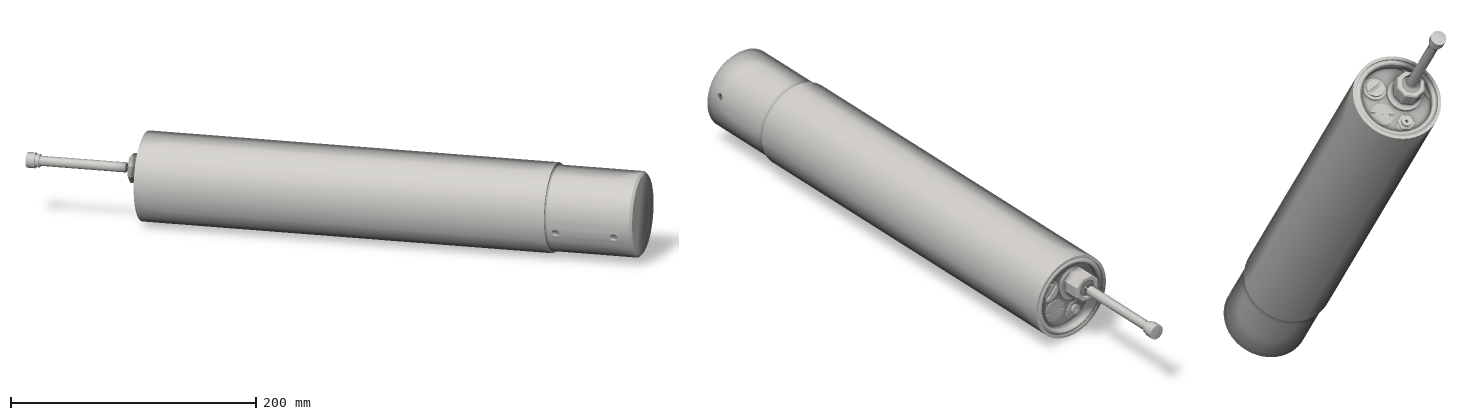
import cadquery as cq
import math

total_length = 518.0

housing_start = 97.5
housing_end = 444.5
housing_dia = 74.5
sleeve_dia = 71.0
sleeve_chamfer = 2.0
neck_dia = 70.0
neck_length = 1.5

groove_outer_dia = 69.5
groove_inner_dia = 65.5
groove_depth = 1.5
recess_dia = 60.5
recess_chamfer = 1.0
panel_x = 106.0

ledge_chord_distance = 25.0
ledge_angle = 135
ledge_height = 2.0

cable_y = -9.5
cable_z = 9.0
plug_dia = 13.0
plug_length = 7.0
collar_dia = 11.0
collar_end = 11.0
cable_dia = 8.5
cable_end = 84.0
core_dia = 1.0
gland_x = 87.5
gland_sides = 8
gland_across_flats = 23.0
gland_chamfer = 1.0
gland_bore_dia = 16.0
gland_bore_depth = 3.0
nut_y = -8.0
nut_z = 6.5
nut_dia = 28.5
nut_height = 3.0

fuse_y = 17.0
fuse_z = 9.0
fuse_flange_dia = 19.0
fuse_flange_height = 2.0
fuse_cap_dia = 14.5
fuse_cap_height = 4.0
fuse_slot_width = 3.0
fuse_slot_depth = 1.5
fuse_slot_angle = 45

cover_y = 10.5
cover_z = -13.0
cover_dia = 19.5
cover_height = 1.0
cover_hole_dia = 1.0
cover_notch_length = 4.0
cover_notch_width = 2.0

stud_y = -9.5
stud_z = -18.0
stud_foot_corners = 14.5
stud_foot_height = 2.0
stud_dia = 8.5
stud_height = 4.5
stud_socket_dia = 2.85
lug_y = -5.0
lug_z = -22.5
lug_dia = 8.0
lug_height = 1.0

hole_dia = 6.0
hole_depth = 6.0
hole_tilt = 18.7
front_hole_x = 453.5
rear_hole_x = 502.5


def section(x, y=0.0, z=0.0):
    """Sketch plane facing along +X at station x, centred on (y, z)."""
    return cq.Workplane("YZ", origin=(x, y, z))


def rod(start, end, dia, y=0.0, z=0.0):
    """Round bar along X between two stations."""
    return section(start, y, z).circle(dia / 2).extrude(end - start)


def on_panel(height, dia, y, z):
    """Round boss standing on the panel; it overlaps the panel by its own height."""
    return rod(panel_x - height, panel_x + height, dia, y, z)


def make_body():
    neck_end = housing_end + neck_length
    sleeve = rod(neck_end, total_length, sleeve_dia).faces(">X").chamfer(sleeve_chamfer)
    body = rod(housing_start, housing_end, housing_dia)
    body = body.union(rod(housing_end, neck_end, neck_dia)).union(sleeve)
    recess = rod(housing_start, panel_x, recess_dia)
    return body.cut(recess).cut(make_groove()).cut(make_recess_chamfer())


def make_groove():
    """Ring with a straight outer wall and a bevelled inner wall, open at the mouth."""
    return (
        cq.Workplane("XY")
        .moveTo(housing_start, groove_inner_dia / 2)
        .lineTo(housing_start, groove_outer_dia / 2)
        .lineTo(housing_start + groove_depth, groove_outer_dia / 2)
        .close()
        .revolve(360, (0, 0, 0), (1, 0, 0))
    )


def make_recess_chamfer():
    cone = section(housing_start).circle(recess_dia / 2 + recess_chamfer)
    return cone.workplane(offset=recess_chamfer).circle(recess_dia / 2).loft(ruled=True)


def make_ledge():
    width = recess_dia / 2 - ledge_chord_distance
    block = (
        section(panel_x - ledge_height)
        .center(ledge_chord_distance + width / 2, 0)
        .rect(width, recess_dia)
        .extrude(2 * ledge_height)
    )
    disc = rod(panel_x - ledge_height, panel_x + ledge_height, recess_dia)
    return block.intersect(disc).rotate((0, 0, 0), (1, 0, 0), ledge_angle)


def make_gland():
    across_corners = gland_across_flats / math.cos(math.pi / gland_sides)
    gland = (
        section(gland_x, cable_y, cable_z)
        .transformed(rotate=(0, 0, 180 / gland_sides))
        .polygon(gland_sides, across_corners)
        .extrude(panel_x - gland_x)
    )
    gland = gland.faces("<X").chamfer(gland_chamfer)
    gland = gland.cut(rod(gland_x, gland_x + gland_bore_depth, gland_bore_dia, cable_y, cable_z))
    return gland.union(on_panel(nut_height, nut_dia, nut_y, nut_z))


def make_cable():
    cable = rod(0, plug_length, plug_dia, cable_y, cable_z)
    cable = cable.union(rod(plug_length, collar_end, collar_dia, cable_y, cable_z))
    cable = cable.union(rod(collar_end, cable_end, cable_dia, cable_y, cable_z))
    return cable.union(rod(cable_end, panel_x, core_dia, cable_y, cable_z))


def make_fuse_holder():
    flange = on_panel(fuse_flange_height, fuse_flange_dia, fuse_y, fuse_z)
    cap = on_panel(fuse_cap_height, fuse_cap_dia, fuse_y, fuse_z)
    slot = (
        section(panel_x - fuse_cap_height, fuse_y, fuse_z)
        .transformed(rotate=(0, 0, -fuse_slot_angle))
        .rect(fuse_cap_dia, fuse_slot_width)
        .extrude(fuse_slot_depth)
    )
    return flange.union(cap.cut(slot))


def make_cover():
    cover = on_panel(cover_height, cover_dia, cover_y, cover_z)
    top = panel_x - cover_height
    cover = cover.cut(rod(top, panel_x, cover_hole_dia, cover_y, cover_z))
    notches = (
        section(top, cover_y, cover_z)
        .pushPoints([(-cover_dia / 2, 0), (cover_dia / 2, 0)])
        .rect(2 * cover_notch_length, cover_notch_width)
        .extrude(cover_height)
    )
    return cover.cut(notches)


def make_stud():
    foot = (
        section(panel_x - stud_foot_height, stud_y, stud_z)
        .polygon(6, stud_foot_corners)
        .extrude(2 * stud_foot_height)
    )
    stud = on_panel(stud_height, stud_dia, stud_y, stud_z)
    socket = rod(panel_x - stud_height, panel_x, stud_socket_dia, stud_y, stud_z)
    lug = on_panel(lug_height, lug_dia, lug_y, lug_z)
    return foot.union(stud).cut(socket).union(lug)


def radial_hole(x, angle):
    """Blind hole into the sleeve; the angle runs from +Y towards +Z."""
    hole = (
        cq.Workplane("XZ", origin=(x, sleeve_dia / 2, 0))
        .circle(hole_dia / 2)
        .extrude(hole_depth)
    )
    return hole.rotate((0, 0, 0), (1, 0, 0), angle)


result = make_body()
fittings = [
    make_ledge(),
    make_gland(),
    make_cable(),
    make_fuse_holder(),
    make_cover(),
    make_stud(),
]
for fitting in fittings:
    result = result.union(fitting)

hole_positions = [
    (front_hole_x, 180 + hole_tilt),
    (rear_hole_x, 180 + hole_tilt),
    (rear_hole_x, hole_tilt),
]
for hole_x, hole_angle in hole_positions:
    result = result.cut(radial_hole(hole_x, hole_angle))